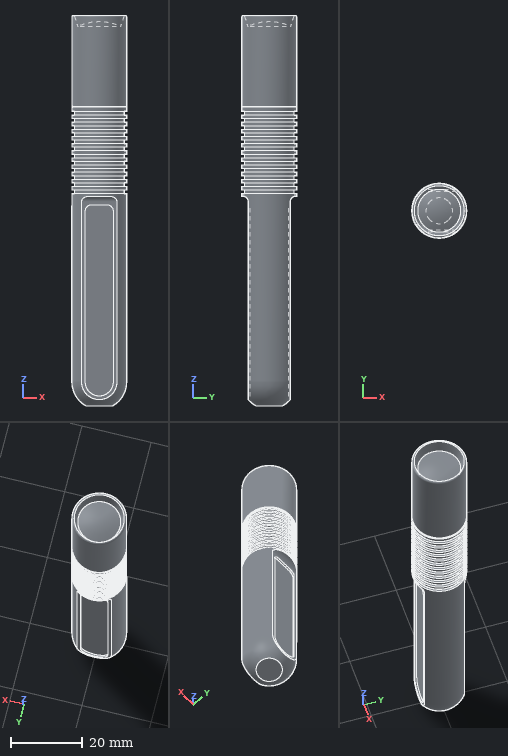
import cadquery as cq

length = 109.6
body_diameter = 15.5
body_radius = body_diameter / 2

parting_line_z = 83.8
parting_line_width = 0.2
parting_line_depth = 0.2

dome_centre_z = 6.8

groove_diameter = 14.0
groove_width = 1.0
groove_count = 12
grip_bottom_z = 59.6
grip_top_z = 82.6
groove_pitch = (grip_top_z - grip_bottom_z - groove_width) / (groove_count - 1)

flat_offset = 5.9
flat_top_z = 57.3
flat_runout_radius = 1.5

panel_width = 7.9
panel_top_z = 56.4
panel_depth = 0.5
panel_corner_radius = 1.8

mouth_diameter = 14.0
lens_diameter = 12.1
lens_edge_depth = 3.1
lens_rise = 1.3

rim_fillet_radius = 0.5


def make_body():
    """Round bar with a spherical lower end that is cut off at z = 0."""
    barrel = (
        cq.Workplane("XY", origin=(0, 0, dome_centre_z))
        .circle(body_radius)
        .extrude(length - dome_centre_z)
    )
    ball = cq.Workplane("XY").sphere(body_radius).translate((0, 0, dome_centre_z))
    below_base = cq.Workplane("XY").rect(2 * body_diameter, 2 * body_diameter).extrude(-body_diameter)
    return barrel.union(ball).cut(below_base)


def make_ring_cutter(bottom_z, width, floor_radius):
    """Ring that cuts one groove around the body, down to the given radius."""
    return (
        cq.Workplane("XY", origin=(0, 0, bottom_z))
        .circle(body_diameter)
        .circle(floor_radius)
        .extrude(width)
    )


def make_flat_cutter():
    """Cutter for the -Y flat, ending at the top in a concave round."""
    outer_y = -body_diameter
    runout_y = -flat_offset - flat_runout_radius
    runout_z = flat_top_z + flat_runout_radius
    return (
        cq.Workplane("YZ")
        .moveTo(-flat_offset, 0)
        .lineTo(-flat_offset, flat_top_z)
        .radiusArc((runout_y, runout_z), -flat_runout_radius)
        .lineTo(outer_y, runout_z)
        .lineTo(outer_y, 0)
        .close()
        .extrude(body_diameter, both=True)
    )


def make_panel_cutter():
    """Cutter for the -Y panel: rounded top corners and a semicircular lower end."""
    half_width = panel_width / 2
    panel = (
        cq.Workplane("XZ", origin=(0, -flat_offset, 0))
        .moveTo(-half_width, panel_top_z)
        .lineTo(-half_width, dome_centre_z)
        .threePointArc((0, dome_centre_z - half_width), (half_width, dome_centre_z))
        .lineTo(half_width, panel_top_z)
        .close()
        .extrude(-panel_depth)
    )
    return panel.edges("|Y and >Z").fillet(panel_corner_radius)


def make_lamp_cutter():
    """Tapered opening whose floor bulges upward as the lens."""
    edge_z = length - lens_edge_depth
    lens_radius = ((lens_diameter / 2) ** 2 + lens_rise**2) / (2 * lens_rise)
    return (
        cq.Workplane("XZ")
        .moveTo(0, length)
        .lineTo(mouth_diameter / 2, length)
        .lineTo(lens_diameter / 2, edge_z)
        .radiusArc((0, edge_z + lens_rise), -lens_radius)
        .close()
        .revolve(360, (0, 0, 0), (0, 1, 0))
    )


result = make_body()

for index in range(groove_count):
    groove_z = grip_bottom_z + index * groove_pitch
    result = result.cut(make_ring_cutter(groove_z, groove_width, groove_diameter / 2))

result = result.cut(
    make_ring_cutter(parting_line_z, parting_line_width, body_radius - parting_line_depth)
)

for cutter in (make_flat_cutter(), make_panel_cutter()):
    result = result.cut(cutter).cut(cutter.mirror("XZ"))

result = result.faces(">Z").edges().fillet(rim_fillet_radius)
result = result.cut(make_lamp_cutter())